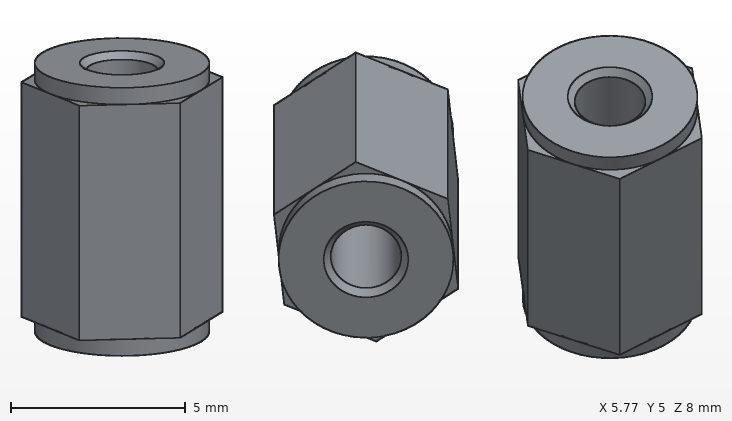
import cadquery as cq
import math

total_height = 8
hex_height = 7.0
across_flats = 5.0
bore_diameter = 2.02
bore_chamfer = 0.2

across_corners = across_flats / math.cos(math.radians(30))

collars = cq.Workplane("XY").circle(across_flats / 2).extrude(total_height / 2, both=True)

hexagon = cq.Workplane("XY").polygon(6, across_corners).extrude(hex_height / 2, both=True)

body = collars.union(hexagon)

bored = body.faces(">Z").workplane().hole(bore_diameter)
bore_mouths = cq.selectors.RadiusNthSelector(0)
result = bored.faces("<Z or >Z").edges(bore_mouths).chamfer(bore_chamfer)